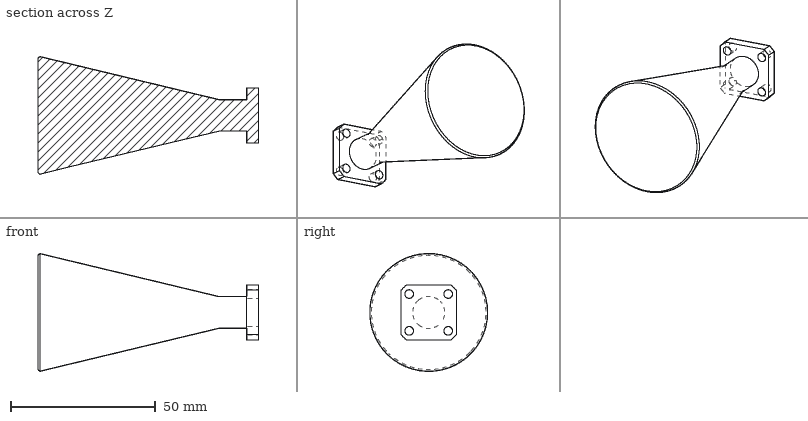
import cadquery as cq

total_length = 76.2
flange_thickness = 4.1
tube_length = 9.6

mouth_diameter = 40.8
tube_diameter = 11.05
rim_length = 0.7
rim_depth = 0.6

flange_side = 19.05
corner_chamfer = 1.8
hole_diameter = 3.0
hole_spacing_y = 13.5
hole_spacing_z = 12.7

flange_start = total_length - flange_thickness
tube_start = flange_start - tube_length
mouth_radius = mouth_diameter / 2
tube_radius = tube_diameter / 2


def make_horn():
    """Solid cone with a bevelled mouth, running into the round tube."""
    return (
        cq.Workplane("XY")
        .moveTo(0, 0)
        .lineTo(0, mouth_radius - rim_depth)
        .lineTo(rim_length, mouth_radius)
        .lineTo(tube_start, tube_radius)
        .lineTo(flange_start, tube_radius)
        .lineTo(flange_start, 0)
        .close()
        .revolve(360, (0, 0, 0), (1, 0, 0))
    )


def make_flange():
    """Square plate with chamfered corners and four through holes."""
    return (
        cq.Workplane("YZ", origin=(flange_start, 0, 0))
        .rect(flange_side, flange_side)
        .extrude(flange_thickness)
        .edges("|X")
        .chamfer(corner_chamfer)
        .faces(">X")
        .workplane()
        .rect(hole_spacing_y, hole_spacing_z, forConstruction=True)
        .vertices()
        .hole(hole_diameter)
    )


result = make_horn().union(make_flange())